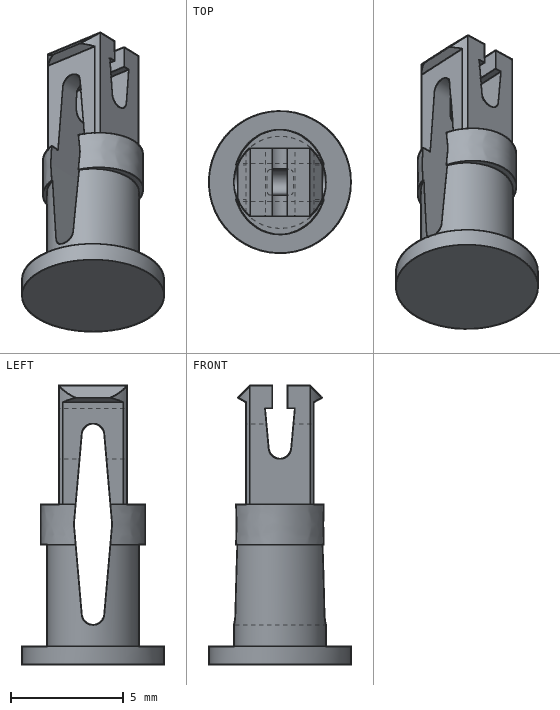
import cadquery as cq
import math

height = 12.46
flange_radius = 3.18
flange_thickness = 0.82
body_radius = 2.05

collar_bottom = 5.36
collar_top = 7.15
collar_half_length = 2.34
collar_half_width = 2.08

shank_half_width = 1.52
shank_corner_radius = 2.03
barb_reach = 1.88
tip_half_width = 1.33
barb_height = height - (barb_reach - tip_half_width)
barb_underside = 11.71

slot_end_radius = 0.5
side_slot_bottom = 1.78
side_slot_top = 10.75
side_slot_half_width = 0.85
top_slot_bottom = 9.2
top_slot_half_width = 0.66
mouth_half_width = 0.34
mouth_depth = 1.02


def tangent_point(center_height, half_width, widest_height):
    """Point where a line from the slot's widest right-hand point touches its round end."""
    rise = widest_height - center_height
    distance = math.hypot(half_width, rise)
    turn = math.acos(slot_end_radius / distance)
    angle = math.atan2(rise, half_width) - math.copysign(turn, rise)
    return (
        slot_end_radius * math.cos(angle),
        center_height + slot_end_radius * math.sin(angle),
    )


def make_base():
    flange = cq.Workplane("XY").circle(flange_radius).extrude(flange_thickness)
    body = cq.Workplane("XY").circle(body_radius).extrude(collar_top)
    return flange.union(body)


def make_collar():
    return (
        cq.Workplane("XY", origin=(0, 0, collar_bottom))
        .ellipse(collar_half_width, collar_half_length)
        .extrude(collar_top - collar_bottom)
    )


def make_shank():
    right_side = [
        (shank_half_width, collar_bottom),
        (shank_half_width, barb_underside),
        (barb_reach, barb_height),
        (tip_half_width, height),
    ]
    left_side = [(-x, z) for x, z in reversed(right_side)]
    profile = cq.Workplane("XZ").polyline(right_side + left_side).close()
    block = profile.extrude(shank_half_width, both=True)
    envelope = cq.Workplane("XY").circle(shank_corner_radius).extrude(height)
    return block.intersect(envelope)


def make_side_slot():
    """Lens-shaped slot through the part along X."""
    middle = (side_slot_bottom + side_slot_top) / 2
    low_y, low_z = tangent_point(side_slot_bottom + slot_end_radius, side_slot_half_width, middle)
    high_y, high_z = tangent_point(side_slot_top - slot_end_radius, side_slot_half_width, middle)
    return (
        cq.Workplane("YZ")
        .moveTo(low_y, low_z)
        .lineTo(side_slot_half_width, middle)
        .lineTo(high_y, high_z)
        .threePointArc((0, side_slot_top), (-high_y, high_z))
        .lineTo(-side_slot_half_width, middle)
        .lineTo(-low_y, low_z)
        .threePointArc((0, side_slot_bottom), (low_y, low_z))
        .close()
        .extrude(collar_half_width, both=True)
    )


def make_top_slot():
    """Narrow-mouthed slot through the shank along Y, open at the top."""
    shoulder = height - mouth_depth
    low_x, low_z = tangent_point(top_slot_bottom + slot_end_radius, top_slot_half_width, shoulder)
    return (
        cq.Workplane("XZ")
        .moveTo(low_x, low_z)
        .lineTo(top_slot_half_width, shoulder)
        .lineTo(mouth_half_width, shoulder)
        .lineTo(mouth_half_width, height)
        .lineTo(-mouth_half_width, height)
        .lineTo(-mouth_half_width, shoulder)
        .lineTo(-top_slot_half_width, shoulder)
        .lineTo(-low_x, low_z)
        .threePointArc((0, top_slot_bottom), (low_x, low_z))
        .close()
        .extrude(shank_half_width, both=True)
    )


solid_part = make_base().union(make_collar()).union(make_shank())
result = solid_part.cut(make_side_slot()).cut(make_top_slot())